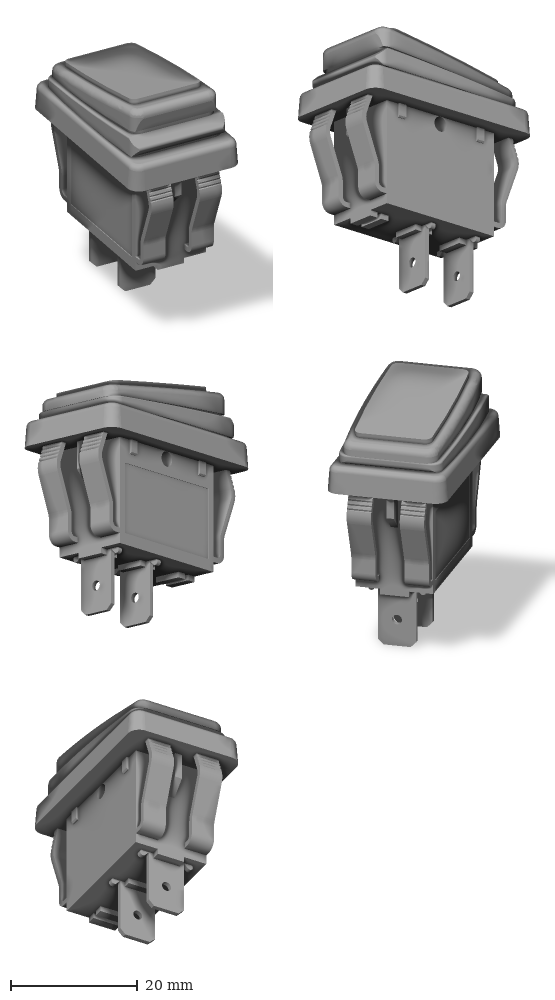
import cadquery as cq
import math


BEZEL_LENGTH = 33.7
BEZEL_WIDTH = 19.7
BEZEL_HEIGHT = 4.35
BEZEL_CORNER = 2.05
BEZEL_DRAFT = 4.3
BEZEL_EDGE_RADIUS = 0.92

BOX_HALF_LENGTH = 11.2
BOX_HALF_WIDTH = 6.38
BOX_DEPTH = 17.45
CROSS_HOLE_DIAMETER = 2.5
CROSS_HOLE_Z = -1.3

LABEL_HALF_LENGTH = 10.0
LABEL_TOP = -4.0
LABEL_BOTTOM = -15.55
LABEL_DEPTH = 0.12

CRUSH_RIB_X = 8.2
CRUSH_RIB_LENGTH = 1.45
CRUSH_RIB_HEIGHT = 2.33
CRUSH_RIB_PROUD = 0.4
CRUSH_RIB_CHAMFER = 0.25

WING_REACH = 13.6
WING_THICKNESS = 1.2
WING_STRAIGHT = 4.5
WING_DEPTH = 6.8

CLIP_INNER_Y = 2.35
CLIP_THICKNESS = 0.9
CLIP_BEND_X = 16.15
CLIP_BEND_Z = -3.85
CLIP_TOP_X = 14.35
CLIP_TOP_Z = 0.8
CLIP_LEG_X = 13.27
CLIP_LEG_TOP_Z = -11.23
CLIP_FOOT_Z = -15.35
CLIP_BEND_RADIUS = 2.8
CLIP_FOOT_RADIUS = 1.15
GRIP_GROOVES = 4
GRIP_PITCH = 0.7
GRIP_FIRST_Z = -0.6
GRIP_HEIGHT = 0.32
GRIP_DEPTH = 0.12

SLOT_PITCH = 9.3
FOOT_HALF_WIDTH = 2.35
FOOT_HEIGHT = 0.92
END_FOOT_HALF_LENGTH = 1.9
END_FOOT_SLOT = 0.8
MIDDLE_FOOT_HALF_LENGTH = 1.7
MIDDLE_FOOT_SLOT = 0.92

TERMINAL_THICKNESS = 0.8
TERMINAL_WIDTH = 6.35
TERMINAL_TOP = -15.25
TERMINAL_TIP = -27.35
TERMINAL_CHAMFER = 0.92
TERMINAL_HOLE_DIAMETER = 1.6
TERMINAL_HOLE_Z = -22.95
PRONG_RADIUS = 0.52
PRONG_END_Y = 4.25
PRONG_END_Z = -17.85
PRONG_RISE = 1.6

TILT = 9.1
PAD_CENTRE_X = -1.3
PAD_TOP_Z = 10.9
PAD_THICKNESS = 0.9
PAD_LENGTH = 23.1
PAD_END_WIDTH = 12.6
PAD_BULGE = 0.35
PAD_CORNER = 1.2
PAD_ROOT = 0.4

CAP_LEFT = -14.85
CAP_RIGHT = 13.3
CAP_END_WIDTH = 15.25
CAP_BULGE = 0.65
CAP_CORNER = 1.8
CAP_EDGE_RADIUS = 1.12
CAP_SHOULDER_Z = 10.83

NECK_LEFT_Z = 5.85
NECK_RIGHT_X = 12.75
NECK_TOP_Z = 8.5
NECK_BOTTOM_Z = 7.9
NECK_INSET = 0.12

SKIRT_LEFT_X = -14.8
SKIRT_LEFT_RADIUS = 0.72
SKIRT_LIFT_X = -8.0
SKIRT_TIP_X = 14.8
SKIRT_TIP_Z = 6.2
SKIRT_TIP_RADIUS = 0.5
SKIRT_FOOT_X = 13.6
SKIRT_FOOT_Z = 4.7
SKIRT_END_WIDTH = 16.75
SKIRT_BULGE = 0.55
SKIRT_CORNER = 1.8
SKIRT_EDGE_RADIUS = 0.3

MARK_DEPTH = 0.4
RING_X = -7.15
RING_OUTER_DIAMETER = 5.0
RING_INNER_DIAMETER = 3.6
BAR_X = 6.85
BAR_LENGTH = 4.4
BAR_WIDTH = 0.7


def block(x0, x1, y0, y1, z0, z1):
    """Box between the given limits."""
    return cq.Workplane("XY").box(x1 - x0, y1 - y0, z1 - z0, centered=False).translate((x0, y0, z0))


def both_ends(shape):
    """The shape together with its mirror image at the other X end."""
    return shape.union(shape.mirror("YZ"))


def both_sides(shape):
    """The shape together with its mirror image at the other Y side."""
    return shape.union(shape.mirror("XZ"))


def make_bezel():
    bezel = (
        cq.Workplane("XY")
        .sketch()
        .rect(BEZEL_LENGTH, BEZEL_WIDTH)
        .vertices()
        .fillet(BEZEL_CORNER)
        .finalize()
        .extrude(BEZEL_HEIGHT, taper=BEZEL_DRAFT)
    )
    return bezel.faces(">Z").edges().fillet(BEZEL_EDGE_RADIUS)


def make_wing():
    outline = [
        (0, 0),
        (WING_REACH, 0),
        (WING_REACH, -WING_STRAIGHT),
        (BOX_HALF_LENGTH, -WING_DEPTH),
        (0, -WING_DEPTH),
    ]
    return cq.Workplane("XZ").polyline(outline).close().extrude(WING_THICKNESS / 2, both=True)


def make_clip():
    """One bent spring strip at the +X end on the +Y side; both ends run into the housing."""
    centre_line = [
        (CLIP_TOP_X, CLIP_TOP_Z),
        (CLIP_BEND_X, CLIP_BEND_Z),
        (CLIP_LEG_X, CLIP_LEG_TOP_Z),
        (CLIP_LEG_X, CLIP_FOOT_Z),
        (BOX_HALF_LENGTH - CLIP_THICKNESS, CLIP_FOOT_Z),
    ]
    path = cq.Wire.makePolygon([cq.Vector(x, BOX_HALF_WIDTH, z) for x, z in centre_line])
    path = path.fillet(CLIP_BEND_RADIUS, path.Vertices()[1:3])
    path = path.fillet(CLIP_FOOT_RADIUS, [corner for corner in path.Vertices() if is_clip_foot(corner)])
    strip = (
        cq.Workplane("XZ")
        .newObject([path])
        .toPending()
        .offset2D(CLIP_THICKNESS / 2)
        .extrude(BOX_HALF_WIDTH - CLIP_INNER_Y)
    )
    return strip.cut(make_grip_grooves())


def is_clip_foot(vertex):
    """True for the sharp corner where the straight leg turns inward."""
    return abs(vertex.X - CLIP_LEG_X) < 0.05 and abs(vertex.Z - CLIP_FOOT_Z) < 0.05


def make_grip_grooves():
    """Shallow grooves across the outer face of the upper clip arm."""
    slope = (CLIP_BEND_X - CLIP_TOP_X) / (CLIP_TOP_Z - CLIP_BEND_Z)
    lean = math.degrees(math.atan(slope))
    half_thickness_in_x = CLIP_THICKNESS / 2 / math.cos(math.radians(lean))
    grooves = cq.Workplane("XY")
    for index in range(GRIP_GROOVES):
        z = GRIP_FIRST_Z - index * GRIP_PITCH
        x = CLIP_TOP_X + (CLIP_TOP_Z - z) * slope + half_thickness_in_x
        groove = cq.Workplane("XY").box(2 * GRIP_DEPTH, 2 * BOX_HALF_WIDTH, GRIP_HEIGHT)
        grooves = grooves.add(groove.rotate((0, 0, 0), (0, 1, 0), lean).translate((x, BOX_HALF_WIDTH, z)))
    return grooves.combine()


def make_crush_rib():
    rib = block(
        CRUSH_RIB_X - CRUSH_RIB_LENGTH / 2,
        CRUSH_RIB_X + CRUSH_RIB_LENGTH / 2,
        0,
        BOX_HALF_WIDTH + CRUSH_RIB_PROUD,
        -CRUSH_RIB_HEIGHT,
        0,
    )
    return rib.edges(">Y and <Z").chamfer(CRUSH_RIB_CHAMFER)


def make_foot(centre_x, half_length, slot):
    """Pair of pads under the box with a terminal slot between them."""
    bottom = -BOX_DEPTH - FOOT_HEIGHT
    pads = block(-half_length, half_length, -FOOT_HALF_WIDTH, FOOT_HALF_WIDTH, bottom, -BOX_DEPTH)
    gap = block(-slot / 2, slot / 2, -FOOT_HALF_WIDTH, FOOT_HALF_WIDTH, bottom, -BOX_DEPTH)
    return pads.cut(gap).translate((centre_x, 0, 0))


def make_housing(terminals):
    box = block(-BOX_HALF_LENGTH, BOX_HALF_LENGTH, -BOX_HALF_WIDTH, BOX_HALF_WIDTH, -BOX_DEPTH, 0)
    housing = make_bezel().union(box)
    housing = housing.union(both_ends(make_wing()))
    housing = housing.union(both_ends(both_sides(make_clip())))
    housing = housing.union(both_ends(both_sides(make_crush_rib())))
    for x in (-SLOT_PITCH, SLOT_PITCH):
        housing = housing.union(make_foot(x, END_FOOT_HALF_LENGTH, END_FOOT_SLOT))
    housing = housing.union(make_foot(0, MIDDLE_FOOT_HALF_LENGTH, MIDDLE_FOOT_SLOT))

    label_field = block(
        -LABEL_HALF_LENGTH,
        LABEL_HALF_LENGTH,
        -BOX_HALF_WIDTH,
        LABEL_DEPTH - BOX_HALF_WIDTH,
        LABEL_BOTTOM,
        LABEL_TOP,
    )
    cross_hole = (
        cq.Workplane("XZ")
        .center(0, CROSS_HOLE_Z)
        .circle(CROSS_HOLE_DIAMETER / 2)
        .extrude(BOX_HALF_WIDTH, both=True)
    )
    housing = housing.cut(label_field).cut(cross_hole)
    for terminal in terminals:
        housing = housing.cut(terminal)
    return housing


def make_prong():
    """Round-ended tab that slants down and out from the +Y edge of a terminal."""
    arm_length = PRONG_RISE * math.sqrt(2)
    return (
        cq.Workplane("YZ")
        .center(PRONG_END_Y - PRONG_RISE / 2, PRONG_END_Z + PRONG_RISE / 2)
        .slot2D(arm_length + 2 * PRONG_RADIUS, 2 * PRONG_RADIUS, -45)
        .extrude(TERMINAL_THICKNESS / 2, both=True)
    )


def make_terminal(centre_x):
    blade = block(
        -TERMINAL_THICKNESS / 2,
        TERMINAL_THICKNESS / 2,
        -TERMINAL_WIDTH / 2,
        TERMINAL_WIDTH / 2,
        TERMINAL_TIP,
        TERMINAL_TOP,
    )
    blade = blade.faces("<Z").edges("|X").chamfer(TERMINAL_CHAMFER)
    hole = (
        cq.Workplane("YZ")
        .center(0, TERMINAL_HOLE_Z)
        .circle(TERMINAL_HOLE_DIAMETER / 2)
        .extrude(TERMINAL_THICKNESS, both=True)
    )
    terminal = blade.cut(hole).union(both_sides(make_prong()))
    return terminal.translate((centre_x, 0, 0))


def pad_plane(depth):
    """Plane parallel to the tilted pad, the given depth under the middle of its top face."""
    tilt = math.radians(TILT)
    normal = cq.Vector(-math.sin(tilt), 0, math.cos(tilt))
    along = cq.Vector(math.cos(tilt), 0, math.sin(tilt))
    origin = cq.Vector(PAD_CENTRE_X, 0, PAD_TOP_Z) - normal * depth
    return cq.Plane(origin=origin, xDir=along, normal=normal)


def bowed_prism(plane, x0, x1, end_width, bulge, corner, height):
    """Prism whose long sides bow outward by the bulge, with rounded corners."""
    half = end_width / 2
    middle = (x0 + x1) / 2
    prism = (
        cq.Workplane(plane)
        .moveTo(x0, -half)
        .threePointArc((middle, -half - bulge), (x1, -half))
        .lineTo(x1, half)
        .threePointArc((middle, half + bulge), (x0, half))
        .close()
        .extrude(height)
    )
    upright = cq.selectors.ParallelDirSelector(prism.plane.zDir)
    return prism.edges(upright).fillet(corner)


def side_profile(points):
    """Wide slab with the given outline in X and Z."""
    return cq.Workplane("XZ").polyline(points).close().extrude(BEZEL_WIDTH, both=True)


def make_pad():
    return bowed_prism(
        pad_plane(PAD_THICKNESS + PAD_ROOT),
        -PAD_LENGTH / 2,
        PAD_LENGTH / 2,
        PAD_END_WIDTH,
        PAD_BULGE,
        PAD_CORNER,
        PAD_THICKNESS + PAD_ROOT,
    )


def fold_under(top_plane, column, edge_radius):
    """The part of the column under the plane, with the rim of its top face rounded."""
    under_plane = cq.Workplane(top_plane).rect(4 * BEZEL_LENGTH, 4 * BEZEL_WIDTH).extrude(-BEZEL_LENGTH)
    fold = column.intersect(under_plane)
    top_face = fold.faces(cq.selectors.DirectionNthSelector(top_plane.zDir, -1))
    return top_face.edges().fillet(edge_radius)


def make_cap():
    """Upper bellows fold that carries the pad."""
    column = bowed_prism("XY", CAP_LEFT, CAP_RIGHT, CAP_END_WIDTH, CAP_BULGE, CAP_CORNER, BEZEL_WIDTH)
    cap = fold_under(pad_plane(PAD_THICKNESS), column, CAP_EDGE_RADIUS)
    above_neck = side_profile(
        [
            (CAP_LEFT, NECK_LEFT_Z),
            (CAP_LEFT, BEZEL_WIDTH),
            (CAP_RIGHT, BEZEL_WIDTH),
            (CAP_RIGHT, CAP_SHOULDER_Z),
            (NECK_RIGHT_X, NECK_TOP_Z),
        ]
    )
    return cap.intersect(above_neck)


def make_neck():
    """Recessed band between the two bellows folds, wider toward the +X end."""
    slab = side_profile(
        [
            (CAP_LEFT, NECK_LEFT_Z - NECK_INSET),
            (CAP_LEFT, NECK_LEFT_Z + NECK_INSET),
            (NECK_RIGHT_X, NECK_TOP_Z + NECK_INSET),
            (NECK_RIGHT_X, NECK_BOTTOM_Z - NECK_INSET),
        ]
    )
    column = bowed_prism(
        "XY",
        CAP_LEFT + NECK_INSET,
        NECK_RIGHT_X,
        CAP_END_WIDTH - 2 * NECK_INSET,
        CAP_BULGE,
        CAP_CORNER,
        BEZEL_WIDTH,
    )
    return slab.intersect(column)


def make_skirt():
    """Lower bellows fold, with a pointed lip at the +X end."""
    column = bowed_prism(
        "XY", SKIRT_LEFT_X, SKIRT_TIP_X, SKIRT_END_WIDTH, SKIRT_BULGE, SKIRT_CORNER, BEZEL_WIDTH
    )
    along = cq.Vector(NECK_RIGHT_X - SKIRT_LEFT_X, 0, NECK_BOTTOM_Z - NECK_LEFT_Z)
    top_plane = cq.Plane(
        origin=(SKIRT_LEFT_X, 0, NECK_LEFT_Z), xDir=along, normal=along.cross(cq.Vector(0, 1, 0))
    )
    skirt = fold_under(top_plane, column, SKIRT_EDGE_RADIUS)
    lip_profile = side_profile(
        [
            (SKIRT_LEFT_X, BEZEL_HEIGHT),
            (SKIRT_LEFT_X, BEZEL_WIDTH),
            (NECK_RIGHT_X, BEZEL_WIDTH),
            (NECK_RIGHT_X, NECK_BOTTOM_Z),
            (SKIRT_TIP_X, SKIRT_TIP_Z),
            (SKIRT_FOOT_X, SKIRT_FOOT_Z),
            (SKIRT_LIFT_X, BEZEL_HEIGHT),
        ]
    )
    lip_profile = lip_profile.edges("|Y").edges(">X").fillet(SKIRT_TIP_RADIUS)
    lip_profile = lip_profile.edges("|Y").edges("<X").edges("<Z").fillet(SKIRT_LEFT_RADIUS)
    return skirt.intersect(lip_profile)


def make_boot_base():
    """Low step under the raised part of the skirt."""
    return bowed_prism(
        cq.Plane((0, 0, BEZEL_HEIGHT)),
        SKIRT_LIFT_X,
        SKIRT_FOOT_X,
        SKIRT_END_WIDTH - 2 * NECK_INSET,
        SKIRT_BULGE,
        SKIRT_CORNER,
        SKIRT_FOOT_Z - BEZEL_HEIGHT,
    )


def make_ring():
    return (
        cq.Workplane(pad_plane(MARK_DEPTH))
        .center(RING_X, 0)
        .circle(RING_OUTER_DIAMETER / 2)
        .circle(RING_INNER_DIAMETER / 2)
        .extrude(MARK_DEPTH)
    )


def make_bar():
    return (
        cq.Workplane(pad_plane(MARK_DEPTH))
        .center(BAR_X, 0)
        .rect(BAR_WIDTH, BAR_LENGTH)
        .extrude(MARK_DEPTH)
    )


def make_boot(marks):
    boot = make_skirt().union(make_boot_base()).union(make_neck()).union(make_cap()).union(make_pad())
    for mark in marks:
        boot = boot.cut(mark)
    return boot


terminals = [make_terminal(x) for x in (-SLOT_PITCH, 0)]
housing = make_housing(terminals)
ring = make_ring()
bar = make_bar()
boot = make_boot([ring, bar])

result = cq.Compound.makeCompound(
    [housing.val(), boot.val(), ring.val(), bar.val(), *[terminal.val() for terminal in terminals]]
)